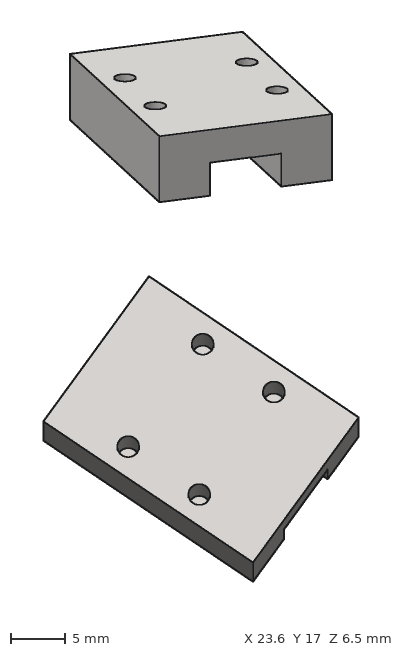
import cadquery as cq

length = 23.6
width = 17.0
height = 6.5

channel_width = 7.0
channel_depth = height / 2

hole_diameter = 2.0
hole_spacing_x = 8.0
hole_spacing_y = 12.0
hole_depth = 4.01


def make_block():
    """Plain block, centred in X and Y, standing on Z = 0."""
    return cq.Workplane("XY").box(length, width, height, centered=(True, True, False))


def make_channel():
    """Cutter for the full-length channel that leaves two legs."""
    return cq.Workplane("XY").box(length, channel_width, channel_depth, centered=(True, True, False))


def make_holes():
    """Cutters for the four flat-bottomed holes, sunk from the top face."""
    return (
        cq.Workplane("XY")
        .workplane(offset=height)
        .rarray(hole_spacing_x, hole_spacing_y, 2, 2)
        .circle(hole_diameter / 2)
        .extrude(-hole_depth)
    )


result = make_block().cut(make_channel()).cut(make_holes())